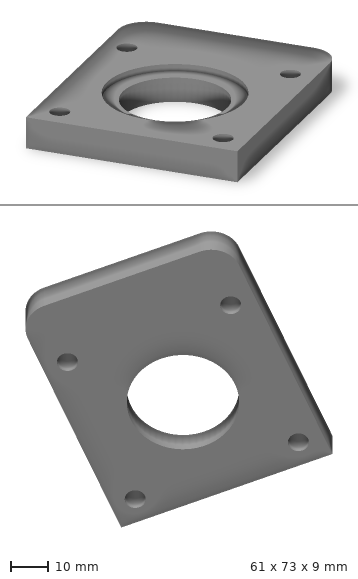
import cadquery as cq

width = 61.0
length = 73.0
thickness = 9.0
corner_radius = 8.0

bore_diameter = 30.0
recess_diameter = 39.2
recess_depth = 2.0

hole_diameter = 5.6
hole_spacing = 47.15

front_edge = -width / 2
plate_center_y = front_edge + length / 2

plate = (
    cq.Workplane("XY")
    .center(0, plate_center_y)
    .rect(width, length)
    .extrude(thickness)
    .edges("|Z and >Y")
    .fillet(corner_radius)
)

plate = (
    plate.faces(">Z")
    .workplane(origin=(0, 0, thickness))
    .cboreHole(bore_diameter, recess_diameter, recess_depth)
)

result = (
    plate.faces(">Z")
    .workplane(origin=(0, 0, thickness))
    .rarray(hole_spacing, hole_spacing, 2, 2)
    .hole(hole_diameter)
)